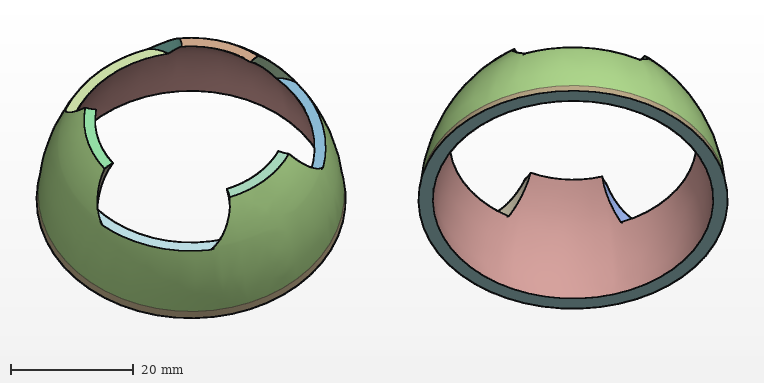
import cadquery as cq

height = 20.2
band_height = 1.5
notch_floor = 13.3
base_radius = 25.25
band_radius = 25.0
floor_radius = 21.95
rim_radius = 17.45
wall = 1.8
inner_base_radius = 22.9

notch_count = 3
first_notch_angle = 180.0
notch_half_width = 11.05
notch_corner_radius = 5.3
notch_distance = 15.9


def dome_shell():
    """Revolve the curved wall and its conical base band about Z."""
    profile = (
        cq.Workplane("XZ")
        .moveTo(base_radius, 0)
        .lineTo(band_radius, band_height)
        .threePointArc((floor_radius, notch_floor), (rim_radius, height))
        .lineTo(rim_radius - wall, height)
        .threePointArc((floor_radius - wall, notch_floor), (inner_base_radius, 0))
        .close()
    )
    return profile.revolve(360, (0, 0, 0), (0, 1, 0))


def notch_cutter(angle):
    """Tangential slot with a radial extension that clears the outer wall."""
    depth = height - notch_floor
    floor = cq.Workplane("XY").workplane(offset=notch_floor)
    slot = (
        floor.center(notch_distance, 0)
        .slot2D(2 * notch_half_width, 2 * notch_corner_radius, 90)
        .extrude(depth)
    )
    opening_length = base_radius - notch_distance
    opening_width = 2 * (notch_half_width - notch_corner_radius)
    opening = (
        floor.center(notch_distance + opening_length / 2, 0)
        .rect(opening_length, opening_width)
        .extrude(depth)
    )
    return slot.union(opening).rotate((0, 0, 0), (0, 0, 1), angle)


result = dome_shell()
for index in range(notch_count):
    result = result.cut(notch_cutter(first_notch_angle + index * 360 / notch_count))